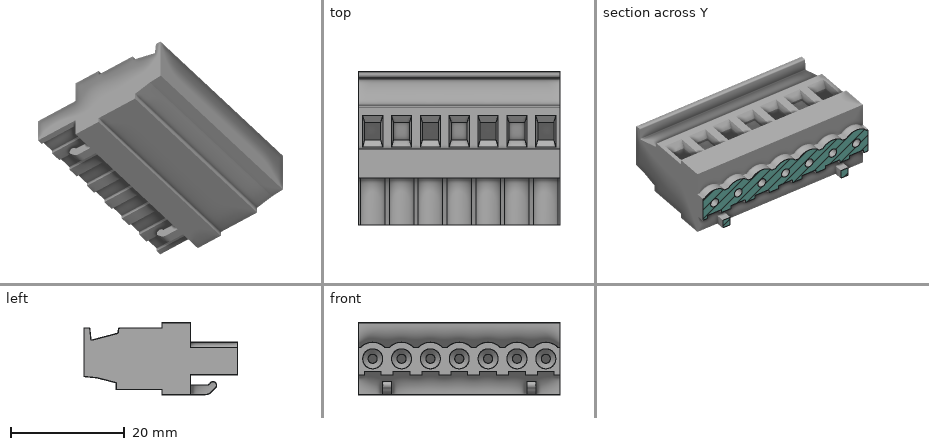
import cadquery as cq
import math

poles = 7
width = 35.55
pitch = width / poles
depth = 27.1
height = 12.7
pole_centers = [(i + 0.5) * pitch - width / 2 for i in range(poles)]

front_face_y = 8.3
collar_back_y = 13.37
collar_step = 0.92
deck_z = height - collar_step
keel_z = collar_step
deck_back_y = 20.98
deck_edge_radius = 0.32
ramp_top_y = 21.1
ramp_high_z = 10.85
ramp_top_radius = 0.15
ramp_low_z = 9.6
lip_root_y = 25.8
lip_top_y = 26.03
lip_root_radius = 0.15
lip_front_radius = 0.2
lip_back_radius = 0.18
back_bottom_z = 3.2
underside_bend_y = 24.7
underside_bend_z = 2.95
keel_back_y = 21.4
keel_back_z = 2.1

plug_bottom_z = 3.5
plug_shoulder_z = 8.3
socket_z = 6.33
barrel_radius = 2.9
socket_mouth_dia = 3.52
socket_bore_dia = 1.6
socket_cone_depth = 1.55
socket_depth = front_face_y
notch_width = 2.95
notch_top_z = 4.12

window_front_y = 13.73
window_back_y = 19.35
window_width = 3.55
shaft_front_y = 15.0
shaft_back_y = 18.1
shaft_width = 2.8
funnel_depth = 1.05
shallow_shaft_depth = 0.5
deep_shaft_depth = 3.2

latch_width = 1.6
latch_top_z = 1.75
latch_tip_y = 4.35
latch_tip_z = 1.67
latch_tip_radius = 0.65
latch_bend_radius = 1.55
latch_centers = [-width / 2 + pitch, width / 2 - pitch]


def extrude_along_x(outline, x_center, length):
    """Extrude a closed YZ outline symmetrically about x_center."""
    return outline.extrude(length / 2, both=True).translate((x_center, 0, 0))


def make_housing():
    outline = cq.Workplane("YZ").polyline([
        (front_face_y, 0),
        (front_face_y, height),
        (collar_back_y, height),
        (collar_back_y, deck_z),
        (deck_back_y, deck_z),
        (ramp_top_y, ramp_high_z),
        (lip_root_y, ramp_low_z),
        (lip_top_y, deck_z),
        (depth, deck_z),
        (depth, back_bottom_z),
        (underside_bend_y, underside_bend_z),
        (keel_back_y, keel_back_z),
        (keel_back_y, keel_z),
        (collar_back_y, keel_z),
        (collar_back_y, 0),
    ]).close()
    housing = extrude_along_x(outline, 0, width)
    rounded_edges = [
        (deck_back_y, deck_z, deck_edge_radius),
        (ramp_top_y, ramp_high_z, ramp_top_radius),
        (lip_root_y, ramp_low_z, lip_root_radius),
        (lip_top_y, deck_z, lip_front_radius),
        (depth, deck_z, lip_back_radius),
    ]
    for y, z, radius in rounded_edges:
        edge = cq.selectors.NearestToPointSelector((0, y, z))
        housing = housing.edges("|X").edges(edge).fillet(radius)
    return housing


def make_plug():
    plug = cq.Workplane("XY").box(
        width, front_face_y, plug_shoulder_z - plug_bottom_z, centered=(True, False, False)
    ).translate((0, 0, plug_bottom_z))
    for x in pole_centers:
        barrel = (
            cq.Workplane("XZ", origin=(x, 0, socket_z))
            .circle(barrel_radius)
            .extrude(-front_face_y)
        )
        crown_keep = cq.Workplane("XY").box(
            pitch, front_face_y, height, centered=(True, False, False)
        ).translate((x, 0, socket_z))
        plug = plug.union(barrel.intersect(crown_keep))
    return plug


def make_notch(x):
    return cq.Workplane("XY").box(
        notch_width, front_face_y, notch_top_z - plug_bottom_z, centered=(True, False, False)
    ).translate((x, 0, plug_bottom_z))


def make_socket(x):
    """Conical mouth at the mating tip that leads into a straight contact bore."""
    mouth = (
        cq.Workplane("XZ", origin=(x, 0, socket_z))
        .circle(socket_mouth_dia / 2)
        .workplane(offset=-socket_cone_depth)
        .circle(socket_bore_dia / 2)
        .loft()
    )
    bore = (
        cq.Workplane("XZ", origin=(x, 0, socket_z))
        .circle(socket_bore_dia / 2)
        .extrude(-socket_depth)
    )
    return mouth.union(bore)


def make_window(x, shaft_depth):
    """Funnel in the deck that leads into a straight rectangular shaft."""
    window_y = (window_front_y + window_back_y) / 2
    shaft_y = (shaft_front_y + shaft_back_y) / 2
    shaft_length = shaft_back_y - shaft_front_y
    funnel = (
        cq.Workplane("XY", origin=(x, window_y, deck_z))
        .rect(window_width, window_back_y - window_front_y)
        .workplane(offset=-funnel_depth)
        .center(0, shaft_y - window_y)
        .rect(shaft_width, shaft_length)
        .loft(ruled=True)
    )
    shaft = (
        cq.Workplane("XY", origin=(x, shaft_y, deck_z - funnel_depth))
        .rect(shaft_width, shaft_length)
        .extrude(-shaft_depth)
    )
    return funnel.union(shaft)


def make_latch(x):
    """Arm along the underside that turns up 45 degrees into a round-ended hook."""
    diagonal = math.sqrt(0.5)
    tip_offset = latch_tip_radius * diagonal
    upper_tangent = (latch_tip_y + tip_offset, latch_tip_z + tip_offset)
    lower_tangent = (latch_tip_y - tip_offset, latch_tip_z - tip_offset)
    tip_end = (latch_tip_y - tip_offset, latch_tip_z + tip_offset)
    elbow_y = upper_tangent[0] + upper_tangent[1] - latch_top_z

    bend_end_z = latch_bend_radius * (1 - diagonal)
    bend_end_y = lower_tangent[0] + lower_tangent[1] - bend_end_z
    bend_start_y = bend_end_y + latch_bend_radius * diagonal
    half_turn = math.radians(45 / 2)
    bend_mid = (
        bend_start_y - latch_bend_radius * math.sin(half_turn),
        latch_bend_radius * (1 - math.cos(half_turn)),
    )
    outline = (
        cq.Workplane("YZ")
        .moveTo(front_face_y, 0)
        .lineTo(front_face_y, latch_top_z)
        .lineTo(elbow_y, latch_top_z)
        .lineTo(*upper_tangent)
        .threePointArc(tip_end, lower_tangent)
        .lineTo(bend_end_y, bend_end_z)
        .threePointArc(bend_mid, (bend_start_y, 0))
        .close()
    )
    return extrude_along_x(outline, x, latch_width)


result = make_housing().union(make_plug())

for latch_x in latch_centers:
    result = result.union(make_latch(latch_x))

for index, pole_x in enumerate(pole_centers):
    window_shaft_depth = deep_shaft_depth if index % 2 == 0 else shallow_shaft_depth
    result = result.cut(make_window(pole_x, window_shaft_depth))
    result = result.cut(make_socket(pole_x))
    result = result.cut(make_notch(pole_x))